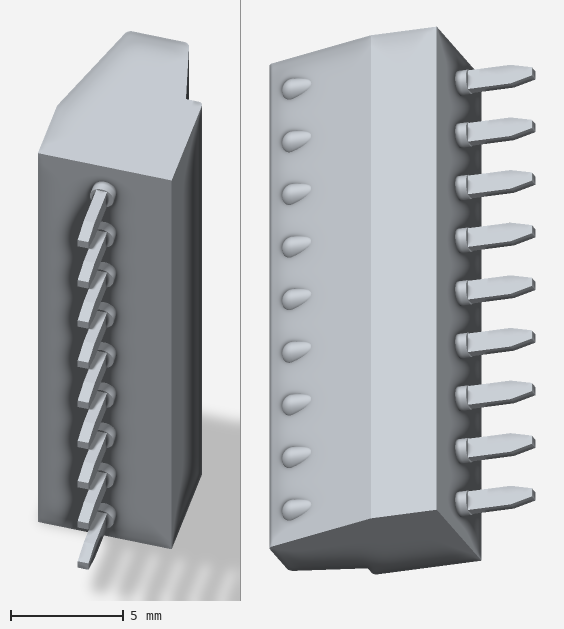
import cadquery as cq
import math

pin_count = 9
pitch = 2.54
end_margin = 1.5
body_length = (pin_count - 1) * pitch + 2 * end_margin

body_width = 6.2
body_depth = 8.5
shoulder_y = 3.1
step_y = 5.08
step_width = 0.8
top_inset_left = 1.72
top_inset_right = 1.63
top_radius = 0.3
step_radius = 0.2

collar_diameter = 1.1
collar_length = 0.5
pin_length = 3.5
pin_thickness = 0.5
pin_width = 0.9
tip_width = 0.4
taper_length = 1.0

stud_radius = 0.55
stud_inset = 1.0
stud_dome_inset = 1.28
stud_dome_y = body_depth - stud_dome_inset
stud_foot_y = shoulder_y

half_width = body_width / 2
pin_heights = [end_margin + i * pitch for i in range(pin_count)]


def make_housing():
    top_left = -half_width + top_inset_left
    top_right = half_width - top_inset_right
    housing = (
        cq.Workplane("XY")
        .moveTo(-half_width, 0)
        .lineTo(half_width, 0)
        .lineTo(half_width, step_y)
        .lineTo(half_width - step_width, step_y)
        .lineTo(top_right, body_depth)
        .lineTo(top_left, body_depth)
        .lineTo(-half_width, shoulder_y)
        .close()
        .extrude(body_length)
    )
    housing = housing.faces(">Y").edges("|Z").fillet(top_radius)
    return housing.edges("|Z").edges(">X").edges(">Y").fillet(step_radius)


def make_pin(z):
    """Round collar followed by a flat blade with a tapered tip, pointing to -Y."""
    collar = cq.Workplane("XZ").center(0, z).circle(collar_diameter / 2).extrude(collar_length)
    taper_start_y = -pin_length + taper_length
    blade = (
        cq.Workplane("YZ")
        .moveTo(0, z - pin_width / 2)
        .lineTo(taper_start_y, z - pin_width / 2)
        .lineTo(-pin_length, z - tip_width / 2)
        .lineTo(-pin_length, z + tip_width / 2)
        .lineTo(taper_start_y, z + pin_width / 2)
        .lineTo(0, z + pin_width / 2)
        .close()
        .extrude(pin_thickness / 2, both=True)
    )
    return collar.union(blade)


def make_stud(z):
    """Half outline of a rod with a hemispherical end, revolved about its Y axis."""
    dome_shoulder = stud_radius * math.sqrt(0.5)
    axis_x = -half_width + stud_inset + stud_radius
    return (
        cq.Workplane("XY", origin=(axis_x, 0, z))
        .moveTo(0, stud_foot_y)
        .lineTo(stud_radius, stud_foot_y)
        .lineTo(stud_radius, stud_dome_y)
        .threePointArc((dome_shoulder, stud_dome_y + dome_shoulder), (0, stud_dome_y + stud_radius))
        .close()
        .revolve(360, (0, 0, 0), (0, 1, 0))
    )


result = make_housing()
for pin_z in pin_heights:
    result = result.union(make_pin(pin_z)).union(make_stud(pin_z))